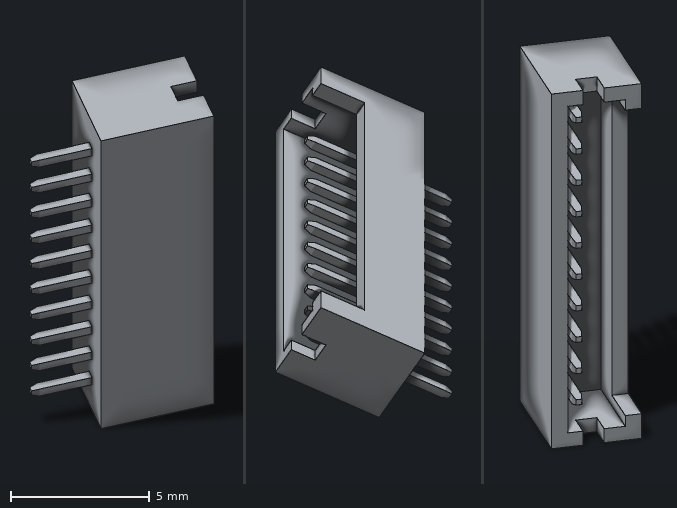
import cadquery as cq

WIDTH = 3.4
DEPTH = 4.3
LENGTH = 14.15

SIDE_WALL = 0.62
END_WALL = 0.57
FLOOR = 1.0

WINDOW_END_MARGIN = 0.99
WINDOW_DEPTH = 1.81

NOTCH_X = 1.42
NOTCH_WIDTH = 0.79
NOTCH_DEPTH = 0.99

PIN_COUNT = 10
PIN_ROW_LENGTH = 11.25
PIN_PITCH = PIN_ROW_LENGTH / (PIN_COUNT - 1)
PIN_X = 2.2
PIN_SIZE = 0.35
PIN_TAIL = 2.29
PIN_RECESS = 0.61
TIP_SIZE = 0.21
TIP_LENGTH = 0.3


def box(x_size, y_size, z_size, corner):
    """Box placed by its lowest corner."""
    return cq.Workplane("XY").box(x_size, y_size, z_size, centered=False).translate(corner)


def make_housing():
    """Box with an open cavity, a side window and an end-wall notch."""
    body = box(WIDTH, DEPTH, LENGTH, (0, 0, 0))
    cavity = box(
        WIDTH - 2 * SIDE_WALL,
        DEPTH - FLOOR,
        LENGTH - 2 * END_WALL,
        (SIDE_WALL, FLOOR, END_WALL),
    )
    window = box(
        SIDE_WALL,
        WINDOW_DEPTH,
        LENGTH - 2 * WINDOW_END_MARGIN,
        (0, DEPTH - WINDOW_DEPTH, WINDOW_END_MARGIN),
    )
    notch = box(NOTCH_WIDTH, NOTCH_DEPTH, LENGTH, (NOTCH_X, DEPTH - NOTCH_DEPTH, 0))
    return body.cut(cavity).cut(window).cut(notch)


def make_tip(y, direction):
    """Tapered pin end growing from the plane at y along direction (+1 or -1)."""
    plane = cq.Plane(origin=(0, y, 0), xDir=(1, 0, 0), normal=(0, direction, 0))
    return (
        cq.Workplane(plane)
        .rect(PIN_SIZE, PIN_SIZE)
        .workplane(offset=TIP_LENGTH)
        .rect(TIP_SIZE, TIP_SIZE)
        .loft(ruled=True)
    )


def make_pin():
    """Pin along Y, centred on X = Z = 0."""
    shank_start = TIP_LENGTH - PIN_TAIL
    shank_end = DEPTH - PIN_RECESS - TIP_LENGTH
    shank = box(
        PIN_SIZE,
        shank_end - shank_start,
        PIN_SIZE,
        (-PIN_SIZE / 2, shank_start, -PIN_SIZE / 2),
    )
    return shank.union(make_tip(shank_start, -1)).union(make_tip(shank_end, 1))


result = make_housing()
pin = make_pin()
first_pin_z = (LENGTH - PIN_ROW_LENGTH) / 2
for index in range(PIN_COUNT):
    result = result.union(pin.translate((PIN_X, 0, first_pin_z + index * PIN_PITCH)))